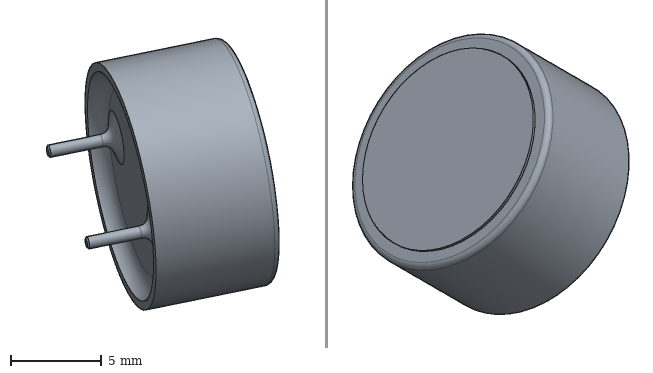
import cadquery as cq
import math

can_radius = 7.0
wall = 0.5
total_length = 10.45
pin_projection = 3.1
boss_height = 0.15
boss_radius = 6.0
can_fillet = 0.34
can_depth = total_length - pin_projection - boss_height
bore_radius = can_radius - wall
inner_end = can_depth - wall

floor_depth = 0.88
meniscus_width = 1.16
floor_radius = bore_radius - meniscus_width

pin_spacing = 7.62
pin_radius = 0.35
pin_chamfer = 0.1
flare_radius = floor_radius - pin_spacing / 2
flare_foot_angle = math.radians(25)


def revolve_about_y(profile):
    return profile.close().revolve(360, (0, 0, 0), (0, 1, 0))


def make_can():
    cup = (
        cq.Workplane("XY")
        .moveTo(bore_radius, 0)
        .lineTo(can_radius, 0)
        .lineTo(can_radius, can_depth - can_fillet)
        .radiusArc((can_radius - can_fillet, can_depth), -can_fillet)
        .lineTo(boss_radius, can_depth)
        .lineTo(boss_radius, can_depth + boss_height)
        .lineTo(0, can_depth + boss_height)
        .lineTo(0, inner_end)
        .lineTo(bore_radius, inner_end)
    )
    return revolve_about_y(cup)


def make_pin():
    """Pin on the Y axis with its flared foot resting on the floor of the filling."""
    tip = -pin_projection
    foot_direction = (-math.cos(flare_foot_angle), -math.sin(flare_foot_angle))
    pin_direction = (0, -1)
    pin = (
        cq.Workplane("XY")
        .moveTo(0, floor_depth)
        .lineTo(flare_radius, floor_depth)
        .spline(
            [(pin_radius, 0)],
            tangents=[foot_direction, pin_direction],
            includeCurrent=True,
        )
        .lineTo(pin_radius, tip + pin_chamfer)
        .lineTo(pin_radius - pin_chamfer, tip)
        .lineTo(0, tip)
    )
    return revolve_about_y(pin)


def make_filling():
    """Filling that carries both pins."""
    filling = revolve_about_y(
        cq.Workplane("XY")
        .moveTo(0, floor_depth)
        .lineTo(floor_radius, floor_depth)
        .tangentArcPoint((bore_radius, 0), relative=False)
        .lineTo(bore_radius, inner_end)
        .lineTo(0, inner_end)
    )
    for side in (-1, 1):
        filling = filling.union(make_pin().translate((side * pin_spacing / 2, 0, 0)))
    return filling


can = make_can()
filling = make_filling()
result = cq.Compound.makeCompound([can.val(), *filling.solids().vals()])